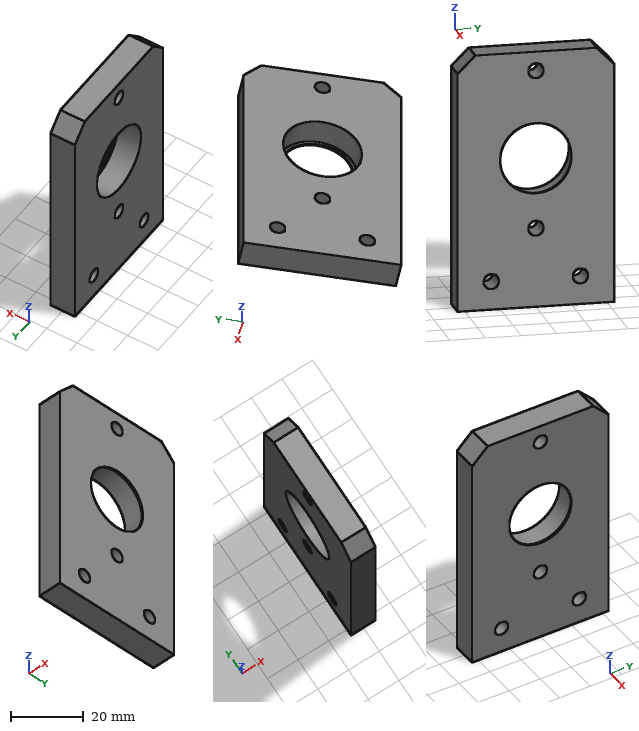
import cadquery as cq

thickness = 8.0
width = 44.0
height = 73.0
corner_chamfer = 5.0

bore_diameter = 20.0
seat_diameter = 22.0
seat_depth = 7.5
bore_height = 42.5

screw_diameter = 4.2
upper_screw_offset = 25.05
lower_screw_offset = 20.0
foot_screw_height = 8.0
foot_screw_spacing = 25.05


def cylinder_along_x(diameter, length, y, z):
    """Cylinder starting on the -X face and running toward +X."""
    return cq.Workplane("YZ").center(y, z).circle(diameter / 2).extrude(length)


plate = (
    cq.Workplane("XY")
    .box(thickness, width, height, centered=(False, True, False))
    .edges("|X and >Z")
    .chamfer(corner_chamfer)
)

bore = cylinder_along_x(bore_diameter, thickness, 0, bore_height)
seat = cylinder_along_x(seat_diameter, seat_depth, 0, bore_height)
result = plate.cut(bore).cut(seat)

screw_positions = [
    (0, bore_height + upper_screw_offset),
    (0, bore_height - lower_screw_offset),
    (-foot_screw_spacing / 2, foot_screw_height),
    (foot_screw_spacing / 2, foot_screw_height),
]
for y, z in screw_positions:
    result = result.cut(cylinder_along_x(screw_diameter, thickness, y, z))